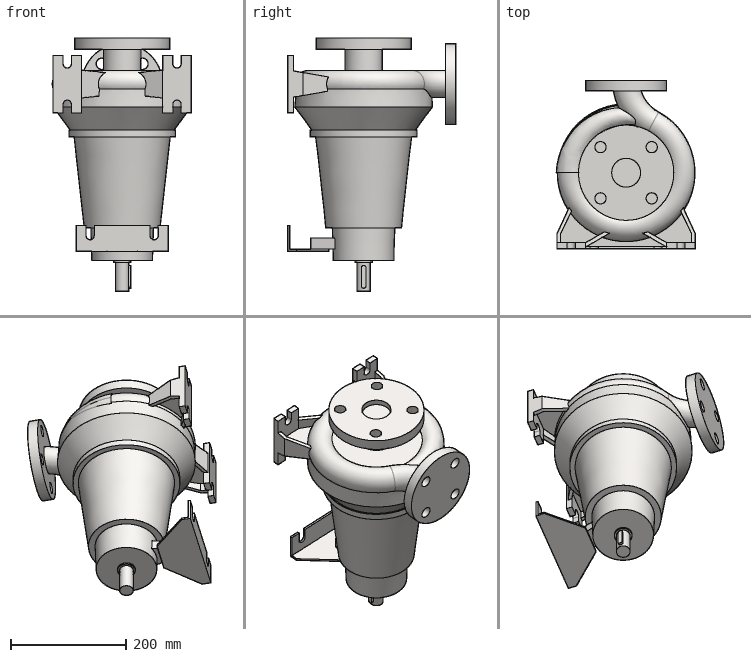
import cadquery as cq
import math


total_height = 440.0
volute_z = 360.0
shaft_radius = 12.0
collar_radius = 15.5
collar_bottom_z = 50.0
bearing_bottom_z = 53.2
bearing_bottom_radius = 53.0
bearing_top_radius = 54.5
barrel_bottom_z = 110.0
barrel_bottom_radius = 66.0
barrel_top_radius = 83.5
ring_bottom_z = 268.0
ring_top_z = 280.0
ring_radius = 93.0
cone_bottom_radius = 90.0
casing_bottom_z = 320.0
casing_bottom_radius = 119.5
casing_top_radius = 117.5
cover_z = 374.5
cover_radius = 88.0

key_length = 39.5
key_width = 8.0
key_bottom_z = 5.5
key_outer_x = 15.5

suction_thickness = 20.0
suction_radius = 82.5
suction_hole_offset = 44.5
suction_neck_radius = 32.5
suction_bore_radius = 25.0
suction_bore_depth = 10.0
outlet_thickness = 18.0
outlet_radius = 70.5
outlet_hole_offset = 35.0
outlet_face_y = 160.0
bolt_hole_radius = 9.5

tube_radius = 23.8
volute_radius = 96.0
tail_start_half_width = 25.5
tail_end_half_width = 14.5
tail_end_half_height = 20.2
tail_section_count = 5

mount_face_y = -132.0
foot_outer_x = 120.0
foot_width = 49.5
foot_height = 100.0
foot_thickness = 10.5
slot_width = 14.0
foot_slot_depth = 22.0
rib_thickness = 6.5
rib_half_height = 23.0
rib_taper = 10.0
outer_rib_bend_y = -105.5
outer_rib_end_y = -55.0
outer_rib_angle = 25.0
inner_rib_end_x = 26.5
inner_rib_angle = 30.0
web_thickness = 7.0

bracket_half_width = 80.0
bracket_bottom_z = 69.5
bracket_height = 45.0
bracket_thickness = 4.0
bracket_slot_x = 55.5
bracket_slot_depth = 24.5
shelf_side_y = -116.5
shelf_back_y = -60.5
shelf_back_half_width = 26.5
block_height = 19.5
block_front_y = -92.0
block_back_y = -49.0
block_front_half_width = 9.2
block_back_half_width = 20.2


def make_casing():
    """Shaft, bearing housing, barrel and casing as one turned solid."""
    profile = [
        (0, 0),
        (shaft_radius, 0),
        (shaft_radius, collar_bottom_z),
        (collar_radius, collar_bottom_z),
        (collar_radius, bearing_bottom_z),
        (bearing_bottom_radius, bearing_bottom_z),
        (bearing_top_radius, barrel_bottom_z),
        (barrel_bottom_radius, barrel_bottom_z),
        (barrel_top_radius, ring_bottom_z),
        (ring_radius, ring_bottom_z),
        (ring_radius, ring_top_z),
        (cone_bottom_radius, ring_top_z),
        (casing_bottom_radius, casing_bottom_z),
        (casing_top_radius, volute_z),
        (cover_radius, volute_z),
        (cover_radius, cover_z),
        (0, cover_z),
    ]
    return cq.Workplane("XZ").polyline(profile).close().revolve(360, (0, 0, 0), (0, 1, 0))


def make_key():
    """Round-ended key on the +X side of the shaft."""
    return (
        cq.Workplane("YZ")
        .center(0, key_bottom_z + key_length / 2)
        .slot2D(key_length, key_width, 90)
        .extrude(key_outer_x)
    )


def make_flange(plane, radius, thickness, hole_offset):
    """Disc with four through holes, its face on the given plane."""
    disc = cq.Workplane(plane).circle(radius).extrude(-thickness)
    holes = (
        cq.Workplane(plane)
        .rect(2 * hole_offset, 2 * hole_offset, forConstruction=True)
        .vertices()
        .circle(bolt_hole_radius)
        .extrude(-thickness)
    )
    return disc.cut(holes)


def make_suction():
    """Top flange with a shallow bore, on a round neck."""
    face = cq.Plane((0, 0, total_height))
    neck = (
        cq.Workplane("XY", origin=(0, 0, volute_z))
        .circle(suction_neck_radius)
        .extrude(total_height - suction_thickness - volute_z)
    )
    bore = cq.Workplane(face).circle(suction_bore_radius).extrude(-suction_bore_depth)
    return make_flange(face, suction_radius, suction_thickness, suction_hole_offset).union(neck).cut(bore)


def make_tube_bend(centre_x, centre_y, bend_radius, start_angle, sweep):
    """Round bar bent about a vertical axis, running counterclockwise from start_angle."""
    return (
        cq.Workplane("XZ")
        .center(bend_radius, volute_z)
        .circle(tube_radius)
        .revolve(sweep, (-bend_radius, 0, 0), (-bend_radius, 1, 0))
        .rotate((0, 0, 0), (0, 0, 1), start_angle)
        .translate((centre_x, centre_y, 0))
    )


def make_tail(end_angle):
    """Oval tube shrinking steadily along the volute circle from 180 degrees down to end_angle."""
    sections = []
    for index in range(tail_section_count):
        travel = index / (tail_section_count - 1)
        angle = math.radians(180 + travel * (end_angle - 180))
        half_width = tail_start_half_width + travel * (tail_end_half_width - tail_start_half_width)
        half_height = tube_radius + travel * (tail_end_half_height - tube_radius)
        plane = cq.Plane(
            origin=(volute_radius * math.cos(angle), volute_radius * math.sin(angle), volute_z),
            xDir=(math.cos(angle), math.sin(angle), 0),
            normal=(math.sin(angle), -math.cos(angle), 0),
        )
        oval = (
            cq.Workplane(plane)
            .moveTo(half_width, 0)
            .ellipseArc(half_width, half_height, 0, 180)
            .ellipseArc(half_width, half_height, 180, 360)
            .wire()
        )
        sections.append(oval.val())
    return cq.Workplane(cq.Solid.makeLoft(sections))


def make_volute():
    """Volute ring, shrinking tail and the tangent bend that straightens at the outlet flange."""
    leave_angle = 2 * math.degrees(math.atan(volute_radius / outlet_face_y))
    outlet_bend_radius = outlet_face_y * math.tan(math.radians(90 - leave_angle))
    ring = make_tube_bend(0, 0, volute_radius, 180, 180 + leave_angle)
    tail = make_tail(leave_angle)
    outlet = make_tube_bend(outlet_bend_radius, outlet_face_y, outlet_bend_radius, 180, leave_angle)
    return ring.union(tail).union(outlet)


def make_outlet_flange():
    face = cq.Plane((0, outlet_face_y, volute_z), xDir=(-1, 0, 0), normal=(0, 1, 0))
    return make_flange(face, outlet_radius, outlet_thickness, outlet_hole_offset)


def make_slot(x, mouth_z, end_z, thickness):
    """Cutter for an open slot through a mounting plate, round at end_z."""
    toward_mouth = math.copysign(1, mouth_z - end_z)
    radius = slot_width / 2
    shoulder_z = end_z + toward_mouth * radius
    return (
        cq.Workplane("XZ", origin=(0, mount_face_y, 0))
        .moveTo(x - radius, mouth_z)
        .lineTo(x - radius, shoulder_z)
        .threePointArc((x, end_z), (x + radius, shoulder_z))
        .lineTo(x + radius, mouth_z)
        .close()
        .extrude(-thickness)
    )


def make_foot():
    """Slotted plate on the +X side with two tapered ribs and a web reaching the volute."""
    plate_back_y = mount_face_y + foot_thickness
    foot_inner_x = foot_outer_x - foot_width
    foot_x = foot_outer_x - foot_width / 2

    plate = cq.Workplane("XY").box(foot_width, foot_thickness, foot_height)
    plate = plate.translate((foot_x, mount_face_y + foot_thickness / 2, volute_z))
    for side in (-1, 1):
        mouth_z = volute_z + side * foot_height / 2
        plate = plate.cut(make_slot(foot_x, mouth_z, mouth_z - side * foot_slot_depth, foot_thickness))

    outer_angle = math.radians(outer_rib_angle)
    outer_end_x = foot_outer_x - (outer_rib_end_y - outer_rib_bend_y) * math.tan(outer_angle)
    outer_rib_span = rib_thickness / math.cos(outer_angle)
    outer_rib = [
        (foot_outer_x, plate_back_y),
        (foot_outer_x, outer_rib_bend_y),
        (outer_end_x, outer_rib_end_y),
        (outer_end_x - outer_rib_span, outer_rib_end_y),
        (foot_outer_x - rib_thickness, outer_rib_bend_y),
        (foot_outer_x - rib_thickness, plate_back_y),
    ]

    inner_angle = math.radians(inner_rib_angle)
    inner_end_y = plate_back_y + (foot_inner_x - inner_rib_end_x) * math.tan(inner_angle)
    inner_rib_span = rib_thickness / math.cos(inner_angle)
    inner_rib = [
        (foot_inner_x, plate_back_y),
        (inner_rib_end_x, inner_end_y),
        (inner_rib_end_x, inner_end_y - inner_rib_span),
        (foot_inner_x, plate_back_y - inner_rib_span),
    ]

    web = [
        (foot_outer_x - rib_thickness, plate_back_y),
        (foot_outer_x - rib_thickness, outer_rib_bend_y),
        (outer_end_x - outer_rib_span, outer_rib_end_y),
        (inner_rib_end_x, inner_end_y),
        (foot_inner_x, plate_back_y),
    ]

    slope = math.tan(math.radians(rib_taper))
    front_half = rib_half_height + foot_thickness * slope
    end_half = rib_half_height - (outer_rib_end_y - plate_back_y) * slope
    rib_envelope = (
        cq.Workplane("YZ")
        .moveTo(mount_face_y, volute_z - front_half)
        .lineTo(mount_face_y, volute_z + front_half)
        .lineTo(outer_rib_end_y, volute_z + end_half)
        .lineTo(outer_rib_end_y, volute_z - end_half)
        .close()
        .extrude(foot_outer_x)
    )
    rib_base = cq.Workplane("XY", origin=(0, 0, volute_z - front_half))
    foot = plate
    for outline in (outer_rib, inner_rib):
        foot = foot.union(rib_base.polyline(outline).close().extrude(2 * front_half).intersect(rib_envelope))
    web_base = cq.Workplane("XY", origin=(0, 0, volute_z - web_thickness / 2))
    return foot.union(web_base.polyline(web).close().extrude(web_thickness))


def make_bracket():
    """Angle bracket: slotted upright, tapering shelf and the block joining it to the housing."""
    top_z = bracket_bottom_z + bracket_height
    upright = (
        cq.Workplane("XY", origin=(0, mount_face_y + bracket_thickness / 2, bracket_bottom_z))
        .rect(2 * bracket_half_width, bracket_thickness)
        .extrude(bracket_height)
    )
    for side in (-1, 1):
        slot_end_z = top_z - bracket_slot_depth
        upright = upright.cut(make_slot(side * bracket_slot_x, top_z, slot_end_z, bracket_thickness))

    shelf_outline = [
        (-bracket_half_width, mount_face_y),
        (-bracket_half_width, shelf_side_y),
        (-shelf_back_half_width, shelf_back_y),
        (shelf_back_half_width, shelf_back_y),
        (bracket_half_width, shelf_side_y),
        (bracket_half_width, mount_face_y),
    ]
    shelf_base = cq.Workplane("XY", origin=(0, 0, bracket_bottom_z))
    shelf = shelf_base.polyline(shelf_outline).close().extrude(bracket_thickness)

    block_outline = [
        (-block_front_half_width, block_front_y),
        (-block_back_half_width, block_back_y),
        (block_back_half_width, block_back_y),
        (block_front_half_width, block_front_y),
    ]
    block_base = shelf_base.workplane(offset=bracket_thickness)
    block = block_base.polyline(block_outline).close().extrude(block_height)
    return upright.union(shelf).union(block)


foot = make_foot()

result = (
    make_casing()
    .union(make_key())
    .union(make_volute())
    .union(make_suction())
    .union(make_outlet_flange())
    .union(foot)
    .union(foot.mirror("YZ"))
    .union(make_bracket())
)